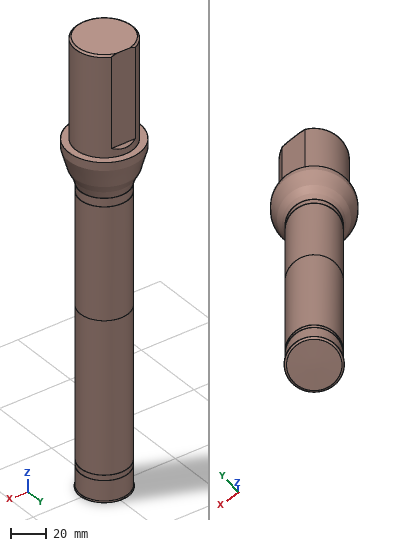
import cadquery as cq

total_length = 308.0
shank_diameter = 40.0
flange_diameter = 49.5
body_diameter = 33.3
groove_diameter = 33.0
rim_diameter = 34.2
tip_cone_diameter = 31.5

tip_cone_height = 0.3
rim_edge_height = 1.2
rim_top = 2.2
lower_groove_bottom = 16.0
lower_groove_top = 19.7
joint_height = 125.0
upper_groove_bottom = 202.7
upper_groove_top = 208.5
flange_bottom = 232.5
flange_top = 238.5

upper_flare_diameter = 42.0
upper_flare_height = 219.0
lower_flare_diameter = 36.0
lower_flare_height = 213.5

shank_chamfer = 1.2
flat_offset = 18.2
flat_end_height = 242.7

body_radius = body_diameter / 2
groove_radius = groove_diameter / 2
flange_radius = flange_diameter / 2
shank_radius = shank_diameter / 2


def make_flat_cutter():
    """Prism that removes the +Y side of the shank, with a 45 degree run-out."""
    run_out = shank_radius - flat_offset
    return (
        cq.Workplane("YZ")
        .moveTo(flat_offset, total_length)
        .lineTo(flat_offset, flat_end_height + run_out)
        .lineTo(shank_radius, flat_end_height)
        .lineTo(flange_radius, flat_end_height)
        .lineTo(flange_radius, total_length)
        .close()
        .extrude(shank_radius, both=True)
    )


def make_holder():
    """Upper body: neck, flared flange and shank with its flat."""
    turned = (
        cq.Workplane("XZ")
        .moveTo(0, joint_height)
        .lineTo(body_radius, joint_height)
        .lineTo(body_radius, upper_groove_bottom)
        .lineTo(groove_radius, upper_groove_bottom)
        .lineTo(groove_radius, upper_groove_top)
        .lineTo(body_radius, upper_groove_top)
        .lineTo(lower_flare_diameter / 2, lower_flare_height)
        .lineTo(upper_flare_diameter / 2, upper_flare_height)
        .lineTo(flange_radius, flange_bottom)
        .lineTo(flange_radius, flange_top)
        .lineTo(shank_radius, flange_top)
        .lineTo(shank_radius, total_length - shank_chamfer)
        .lineTo(shank_radius - shank_chamfer, total_length)
        .lineTo(0, total_length)
        .close()
        .revolve(360, (0, 0, 0), (0, 1, 0))
    )
    return turned.cut(make_flat_cutter())


def make_head():
    """Lower body: grooved cylinder with a sharp rim and a very flat conical tip."""
    return (
        cq.Workplane("XZ")
        .lineTo(tip_cone_diameter / 2, tip_cone_height)
        .lineTo(rim_diameter / 2, rim_edge_height)
        .lineTo(body_radius, rim_top)
        .lineTo(body_radius, lower_groove_bottom)
        .lineTo(groove_radius, lower_groove_bottom)
        .lineTo(groove_radius, lower_groove_top)
        .lineTo(body_radius, lower_groove_top)
        .lineTo(body_radius, joint_height)
        .lineTo(0, joint_height)
        .close()
        .revolve(360, (0, 0, 0), (0, 1, 0))
    )


holder = make_holder()
head = make_head()
result = cq.Compound.makeCompound([holder.val(), head.val()])